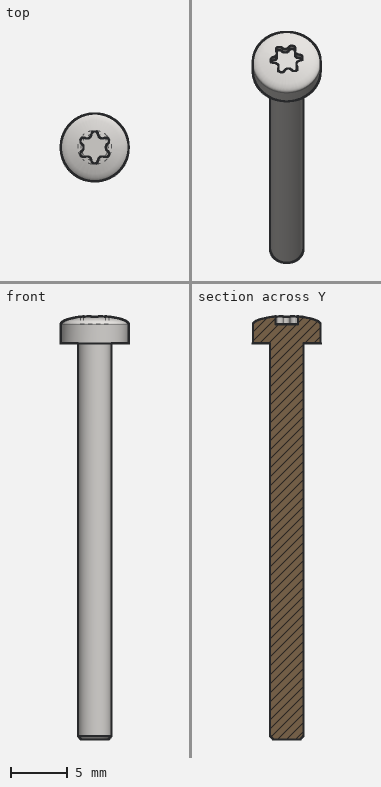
import cadquery as cq
import math

total_length = 37.37
head_diameter = 6.0
head_height = 2.4
rim_drop = 0.73
shank_diameter = 3.0
tip_chamfer_height = 0.35
tip_chamfer_width = 0.3

lobe_count = 6
lobe_reach = 1.42
lobe_radius = 0.3
valley_reach = 0.97
recess_depth = 0.7

head_radius = head_diameter / 2
shank_radius = shank_diameter / 2
seat_z = total_length - head_height
rim_z = total_length - rim_drop


dome_height = rim_drop / math.sqrt(1 - (valley_reach / head_radius) ** 2)


def polar(radius, angle):
    return (radius * math.cos(angle), radius * math.sin(angle))


def make_body():
    """Revolve the shank, chamfered tip and domed head about Z."""
    profile = (
        cq.Workplane("XZ")
        .lineTo(shank_radius - tip_chamfer_width, 0)
        .lineTo(shank_radius, tip_chamfer_height)
        .lineTo(shank_radius, seat_z)
        .lineTo(head_radius, seat_z)
        .lineTo(head_radius, rim_z)
        .ellipseArc(head_radius, dome_height, 0, 90, startAtCurrent=True)
        .close()
    )
    return profile.revolve(360, (0, 0, 0), (0, 1, 0))


def make_recess():
    """Six rounded lobes joined by tangent convex valleys, one lobe along +Y."""
    half_pitch = math.pi / lobe_count
    lobe_center = lobe_reach - lobe_radius

    cosine = math.cos(half_pitch)
    valley_radius = (
        lobe_center**2 + valley_reach**2 - 2 * lobe_center * valley_reach * cosine - lobe_radius**2
    ) / (2 * (lobe_radius + lobe_center * cosine - valley_reach))
    valley_center = valley_reach + valley_radius

    share = lobe_radius / (lobe_radius + valley_radius)
    valley_x, valley_y = polar(valley_center, half_pitch)
    tangent_x = lobe_center + share * (valley_x - lobe_center)
    tangent_y = share * valley_y
    tangent_reach = math.hypot(tangent_x, tangent_y)
    tangent_angle = math.atan2(tangent_y, tangent_x)

    outline = cq.Workplane("XY").workplane(offset=total_length - recess_depth)
    first_angle = math.pi / 2
    outline = outline.moveTo(*polar(tangent_reach, first_angle - tangent_angle))
    for index in range(lobe_count):
        angle = first_angle + 2 * half_pitch * index
        next_angle = angle + 2 * half_pitch
        outline = outline.threePointArc(
            polar(lobe_reach, angle), polar(tangent_reach, angle + tangent_angle)
        ).threePointArc(
            polar(valley_reach, angle + half_pitch), polar(tangent_reach, next_angle - tangent_angle)
        )
    return outline.close().extrude(head_height)


result = make_body().cut(make_recess())